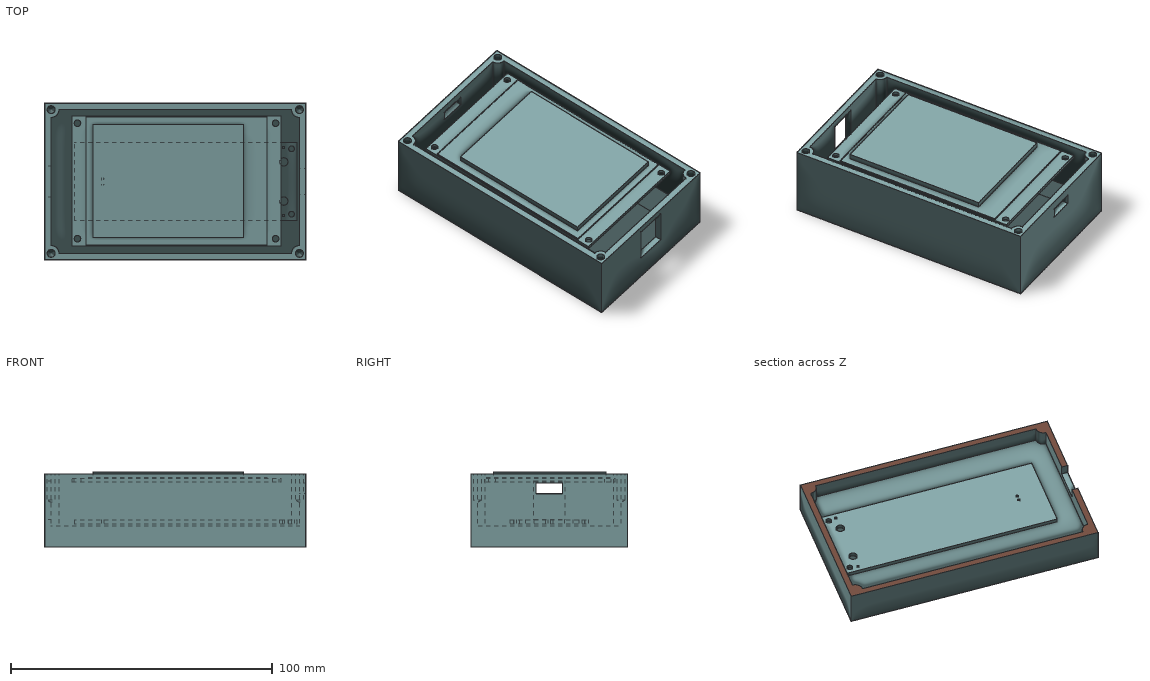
import cadquery as cq
import math

LENGTH = 100.0
WIDTH = 60.0
HEIGHT = 28.0
WALL = 2.5
FLOOR_TOP = 8.0
BOSS_RADIUS = 3.0

SCREW_HOLE_DIAMETER = 3.0
SCREW_HOLE_DEPTH = 10.0
DRILL_POINT_ANGLE = 118.0

CABLE_WINDOW_WIDTH = 12.0
CABLE_WINDOW_BOTTOM = 10.5
CABLE_WINDOW_TOP = 25.3

PLUG_WINDOW_WIDTH = 10.0
PLUG_WINDOW_BOTTOM = 20.5
PLUG_WINDOW_TOP = 24.5

BOARD_LEFT = -38.5
BOARD_RIGHT = 46.5
BOARD_WIDTH = 30.0
BOARD_BOTTOM = 8.8
BOARD_THICKNESS = 1.6
MOUNT_HOLE_DIAMETER = 2.2
MOUNT_HOLE_X = 44.5
MOUNT_HOLE_SPACING = 25.0
PEG_HOLE_DIAMETER = 3.2
PEG_HOLE_X = 41.5
PEG_HOLE_SPACING = 15.0
PIN_HOLE_DIAMETER = 0.9
PIN_HOLE_SPACING = 26.0
PIN_HOLE_X = 41.4
WIRE_HOLE_DIAMETER = 0.95
WIRE_HOLE_X = -27.8
WIRE_HOLE_SPACING = 2.0

MODULE_TOP = 28.8
CARRIER_BOTTOM = 25.0
CARRIER_TOP = 26.2
CARRIER_LENGTH = 80.0
CARRIER_WIDTH = 49.8
MODULE_CENTER_X = 0.5
MODULE_CENTER_Y = 0.2
CARRIER_HOLE_DIAMETER = 2.5
CARRIER_HOLE_SPACING_X = 75.8
CARRIER_HOLE_SPACING_Y = 44.2
PANEL_TOP = 26.7
PANEL_LENGTH = 69.2
PANEL_WIDTH = 49.1
GLASS_LENGTH = 57.5
GLASS_WIDTH = 43.1
GLASS_CENTER_X = -2.7


def block(length, width, bottom, top, center_x=0.0):
    """Upright block centred on Y = 0 between two heights."""
    slab = cq.Workplane("XY", origin=(center_x, 0, bottom))
    return slab.rect(length, width).extrude(top - bottom)


def hole_pair(x, spacing, diameter, bottom, top):
    """Two round cutters mirrored about the XZ plane."""
    points = [(x, -spacing / 2), (x, spacing / 2)]
    return cq.Workplane("XY", origin=(0, 0, bottom)).pushPoints(points).circle(diameter / 2).extrude(top - bottom)


def screw_hole(x, y):
    """Cutter for one blind hole: a cylinder ending in a cone."""
    radius = SCREW_HOLE_DIAMETER / 2
    point_depth = radius / math.tan(math.radians(DRILL_POINT_ANGLE / 2))
    profile = [
        (0, 0),
        (radius, 0),
        (radius, -SCREW_HOLE_DEPTH),
        (0, -SCREW_HOLE_DEPTH - point_depth),
    ]
    cutter = cq.Workplane("XZ").polyline(profile).close().revolve(360, (0, 0), (0, 1))
    return cutter.translate((x, y, HEIGHT))


def make_housing():
    inner_length = LENGTH - 2 * WALL
    inner_width = WIDTH - 2 * WALL
    corners = [(sx * inner_length / 2, sy * inner_width / 2) for sx in (-1, 1) for sy in (-1, 1)]

    cavity = block(inner_length, inner_width, FLOOR_TOP, HEIGHT)
    bosses = cq.Workplane("XY", origin=(0, 0, FLOOR_TOP)).pushPoints(corners)
    cavity = cavity.cut(bosses.circle(BOSS_RADIUS).extrude(HEIGHT - FLOOR_TOP))
    housing = block(LENGTH, WIDTH, 0, HEIGHT).cut(cavity)

    for x, y in corners:
        housing = housing.cut(screw_hole(x, y))

    wall_center_x = (LENGTH - WALL) / 2
    cable_window = block(WALL, CABLE_WINDOW_WIDTH, CABLE_WINDOW_BOTTOM, CABLE_WINDOW_TOP, -wall_center_x)
    plug_window = block(WALL, PLUG_WINDOW_WIDTH, PLUG_WINDOW_BOTTOM, PLUG_WINDOW_TOP, wall_center_x)
    return housing.cut(cable_window).cut(plug_window)


def make_circuit_board():
    top = BOARD_BOTTOM + BOARD_THICKNESS
    board = block(BOARD_RIGHT - BOARD_LEFT, BOARD_WIDTH, BOARD_BOTTOM, top, (BOARD_LEFT + BOARD_RIGHT) / 2)
    hole_pairs = [
        (MOUNT_HOLE_X, MOUNT_HOLE_SPACING, MOUNT_HOLE_DIAMETER),
        (PEG_HOLE_X, PEG_HOLE_SPACING, PEG_HOLE_DIAMETER),
        (PIN_HOLE_X, PIN_HOLE_SPACING, PIN_HOLE_DIAMETER),
        (WIRE_HOLE_X, WIRE_HOLE_SPACING, WIRE_HOLE_DIAMETER),
    ]
    for x, spacing, diameter in hole_pairs:
        board = board.cut(hole_pair(x, spacing, diameter, BOARD_BOTTOM, top))
    return board


def make_display_module():
    carrier = block(CARRIER_LENGTH, CARRIER_WIDTH, CARRIER_BOTTOM, CARRIER_TOP, MODULE_CENTER_X)
    for side in (-1, 1):
        x = MODULE_CENTER_X + side * CARRIER_HOLE_SPACING_X / 2
        holes = hole_pair(x, CARRIER_HOLE_SPACING_Y, CARRIER_HOLE_DIAMETER, CARRIER_BOTTOM, CARRIER_TOP)
        carrier = carrier.cut(holes)
    panel = block(PANEL_LENGTH, PANEL_WIDTH, CARRIER_TOP, PANEL_TOP, MODULE_CENTER_X)
    glass = block(GLASS_LENGTH, GLASS_WIDTH, PANEL_TOP, MODULE_TOP, GLASS_CENTER_X)
    module = carrier.union(panel).union(glass)
    return module.translate((0, MODULE_CENTER_Y, 0))


housing = make_housing()
circuit_board = make_circuit_board()
display_module = make_display_module()

result = cq.Compound.makeCompound([housing.val(), circuit_board.val(), display_module.val()])